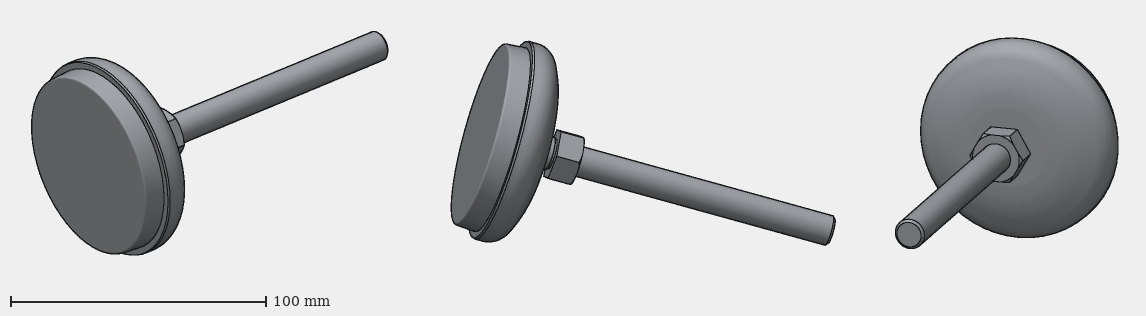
import cadquery as cq
import math

TOTAL_LENGTH = 145.0

PAD_HEIGHT = 8.4
PAD_TOP_RADIUS = 37.4
PAD_BOTTOM_RADIUS = 36.8
PAD_EDGE_FILLET = 0.9

CAP_DIAMETER = 80.5
CAP_RADIUS = CAP_DIAMETER / 2
CAP_EDGE_CHAMFER_HEIGHT = 0.9
CAP_EDGE_CHAMFER_WIDTH = 0.3
CAP_RIM_TOP = 12.3
CAP_TOP = 25.0
CAP_FLAT_RADIUS = 16.0
DOME_RADIUS = 40.6
SHOULDER_TOP = 20.2
SHOULDER_RADIUS = 8.7

ROD_DIAMETER = 12.0
ROD_RADIUS = ROD_DIAMETER / 2
ROD_END_CHAMFER = 1.0
COLLAR_RADIUS = 6.5
COLLAR_TOP = 29.0

NUT_BOTTOM = 29.9
NUT_HEIGHT = 10.0
NUT_ACROSS_FLATS = 19.0
NUT_CORNER_RADIUS = NUT_ACROSS_FLATS / math.sqrt(3)
NUT_CHAMFER_WIDTH = 1.3
NUT_CHAMFER_HEIGHT = 0.7


def turn(profile):
    """Revolve a closed radius-height outline in the XY plane about the Y axis."""
    return profile.close().revolve(360, (0, 0, 0), (0, 1, 0))


def disc(radius, bottom, height):
    """Cylinder along +Y, starting at the given height."""
    return cq.Workplane("XZ", origin=(0, bottom, 0)).circle(radius).extrude(-height)


def make_pad():
    outline = (
        cq.Workplane("XY")
        .lineTo(PAD_BOTTOM_RADIUS, 0)
        .lineTo(PAD_TOP_RADIUS, PAD_HEIGHT)
        .lineTo(0, PAD_HEIGHT)
    )
    return turn(outline).faces("<Y").edges().fillet(PAD_EDGE_FILLET)


def make_cap():
    dome_drop = CAP_TOP - SHOULDER_TOP
    dome_run = math.sqrt(DOME_RADIUS**2 - (DOME_RADIUS - dome_drop) ** 2)
    shoulder_joint_radius = CAP_FLAT_RADIUS + dome_run
    outline = (
        cq.Workplane("XY")
        .moveTo(0, PAD_HEIGHT)
        .lineTo(CAP_RADIUS - CAP_EDGE_CHAMFER_WIDTH, PAD_HEIGHT)
        .lineTo(CAP_RADIUS, PAD_HEIGHT + CAP_EDGE_CHAMFER_HEIGHT)
        .lineTo(CAP_RADIUS, CAP_RIM_TOP)
        .radiusArc((shoulder_joint_radius, SHOULDER_TOP), -SHOULDER_RADIUS)
        .radiusArc((CAP_FLAT_RADIUS, CAP_TOP), -DOME_RADIUS)
        .lineTo(0, CAP_TOP)
    )
    return turn(outline)


def make_stem():
    collar = disc(COLLAR_RADIUS, CAP_TOP, COLLAR_TOP - CAP_TOP)
    rod = disc(ROD_RADIUS, COLLAR_TOP, TOTAL_LENGTH - COLLAR_TOP)
    rod = rod.faces(">Y").edges().chamfer(ROD_END_CHAMFER)
    return collar.union(rod)


def make_nut():
    hexagon = (
        cq.Workplane("XZ", origin=(0, NUT_BOTTOM, 0))
        .polygon(6, 2 * NUT_CORNER_RADIUS)
        .extrude(-NUT_HEIGHT)
    )
    envelope = (
        disc(NUT_CORNER_RADIUS, NUT_BOTTOM, NUT_HEIGHT)
        .faces(">Y")
        .edges()
        .chamfer(NUT_CHAMFER_HEIGHT, NUT_CHAMFER_WIDTH)
    )
    bore = disc(ROD_RADIUS, NUT_BOTTOM, NUT_HEIGHT)
    return hexagon.intersect(envelope).cut(bore)


pad = make_pad()
cap = make_cap()
stem = make_stem()
nut = make_nut()

result = cq.Compound.makeCompound([pad.val(), cap.val(), stem.val(), nut.val()])